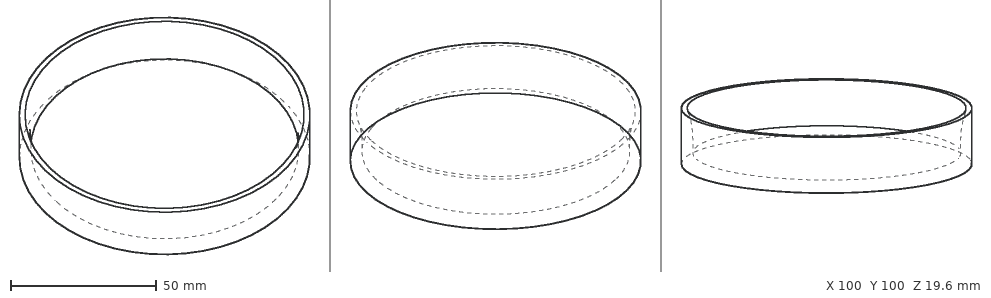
import cadquery as cq

outer_diameter = 100.0
height = 19.6
floor_diameter = 92.2
rim_width = 2.0
straight_wall_height = 4.9

outer_radius = outer_diameter / 2
floor_radius = floor_diameter / 2
mouth_radius = outer_radius - rim_width
floor_thickness = outer_radius - floor_radius
band_top = floor_thickness + straight_wall_height

half_section = (
    cq.Workplane("XZ")
    .moveTo(0, floor_thickness)
    .lineTo(floor_radius, floor_thickness)
    .lineTo(floor_radius, band_top)
    .tangentArcPoint((mouth_radius, height), relative=False)
    .lineTo(outer_radius, height)
    .lineTo(outer_radius, 0)
    .lineTo(0, 0)
    .close()
)

result = half_section.revolve(360, (0, 0, 0), (0, 1, 0))